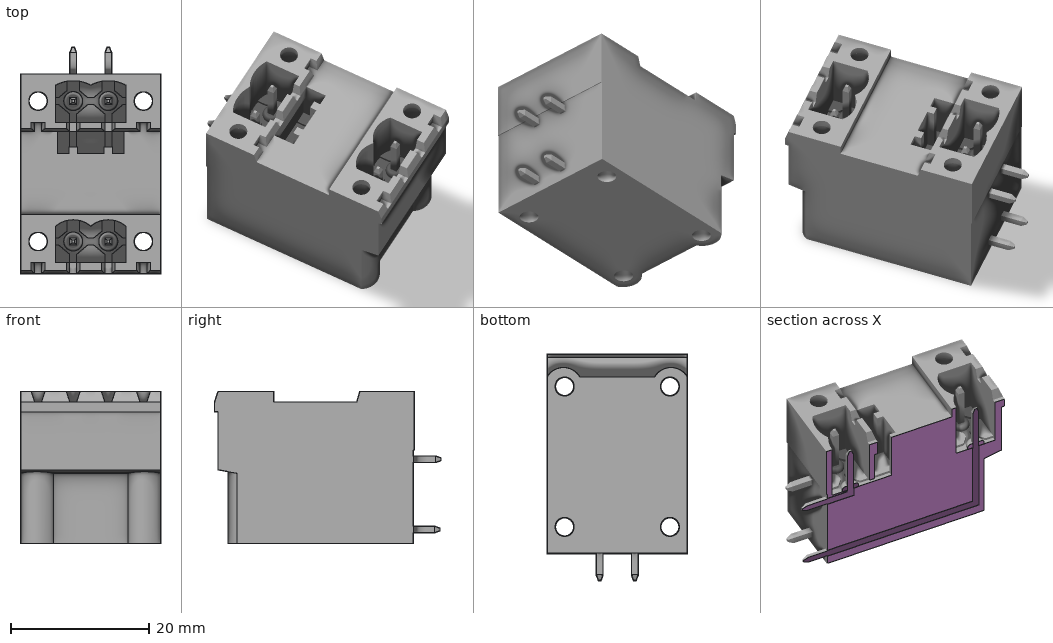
import cadquery as cq
import math


pitch = 5.08
housing_width = 4 * pitch
pin_x = (-pitch / 2, pitch / 2)
screw_x = (-1.5 * pitch, 1.5 * pitch)
notch_x = screw_x + pin_x
rear_row_y = -3.8
row_spacing = 4 * pitch
front_row_y = rear_row_y - row_spacing

height = 22.0
valley_depth = 1.5
valley_z = height - valley_depth
back_step = 0.12
back_step_z = 13.5
lip_front_y = -28.8
lip_setback = 0.5
lip_slope_run = 0.45
front_face_y = lip_front_y + lip_setback
lip_bottom_z = 19.05
valley_rear_y = -8.22
valley_front_y = -20.2
rear_lip_top_y = valley_rear_y + lip_slope_run
base_front_y = -25.5
front_block_bottom_z = 10.65
base_top_z = 10.15

column_radius = 2.75
column_sag = column_radius - (base_front_y - (front_row_y - column_radius))
column_half_chord = math.sqrt(column_radius**2 - column_sag**2)
column_x = housing_width / 2 - column_half_chord

screw_hole_diameter = 2.6
screw_hole_rim = 1.1
screw_clearance_diameter = 2.75

socket_half_width = pitch
socket_floor_z = 13.5
front_wall_offset = -3.07
front_cusp_offset = 2.2
front_crown_offset = 3.15
rear_cusp_offset = 2.3
rear_crown_offset = 2.95

channel_depth = 0.4
channel_z = socket_floor_z - channel_depth
cross_half_width = 0.5
upper_half_width = 0.93
upper_corner = 1.48
side_corner = 2.12
lower_corner = -1.87

notch_top_width = 2.0
notch_bottom_width = 1.0

pocket_half_width = 4.84
pocket_length = 3.2
pocket_front_y = valley_rear_y - pocket_length
undercut_top_z = 18.15
tab_width = 1.2
tab_length = 1.0

pin_size = 1.0
tip_length = 0.8
tip_size = 0.4
pin_top_z = valley_z
rear_tail_z = 12.19
front_tail_z = rear_tail_z - 2 * pitch
rear_tail_end_y = 4.0
front_tail_end_y = 3.85

collar_base_diameter = 2.75
collar_top_diameter = 1.7
collar_rounding = (collar_base_diameter - collar_top_diameter) / 2
collar_height = 0.8


def box(x_min, x_max, y_min, y_max, z_min, z_max):
    block = cq.Workplane("XY").box(x_max - x_min, y_max - y_min, z_max - z_min, centered=False)
    return block.translate((x_min, y_min, z_min))


def housing_block():
    profile = [
        (0, 0),
        (0, back_step_z),
        (back_step, back_step_z),
        (back_step, height),
        (rear_lip_top_y, height),
        (valley_rear_y, valley_z),
        (valley_front_y, valley_z),
        (valley_front_y, height),
        (front_face_y, height),
        (lip_front_y, valley_z),
        (lip_front_y, lip_bottom_z),
        (front_face_y, lip_bottom_z),
        (front_face_y, front_block_bottom_z),
        (base_front_y, base_top_z),
        (base_front_y, 0),
    ]
    block = cq.Workplane("YZ").polyline(profile).close().extrude(housing_width / 2, both=True)
    columns = (
        cq.Workplane("XY")
        .pushPoints([(-column_x, front_row_y), (column_x, front_row_y)])
        .circle(column_radius)
        .extrude(front_block_bottom_z)
    )
    half_width = housing_width / 2
    trim = box(-half_width, half_width, front_face_y, 0, 0, front_block_bottom_z)
    return block.union(columns.intersect(trim))


def socket(row_y, cusp_offset, crown_offset):
    """Cavity with one arched bay per pin."""
    wall_y = row_y + front_wall_offset
    cusp_y = row_y + cusp_offset
    crown_y = row_y + crown_offset
    return (
        cq.Workplane("XY", origin=(0, 0, socket_floor_z))
        .moveTo(-socket_half_width, wall_y)
        .lineTo(-socket_half_width, cusp_y)
        .threePointArc((pin_x[0], crown_y), (0, cusp_y))
        .threePointArc((pin_x[1], crown_y), (socket_half_width, cusp_y))
        .lineTo(socket_half_width, wall_y)
        .close()
        .extrude(height - socket_floor_z)
    )


def floor_channels(row_y, cusp_offset, crown_offset):
    """Cross-shaped channels around the pins, ending at the socket walls."""
    half_pitch = pitch / 2
    right_side = [
        (upper_half_width, crown_offset),
        (upper_half_width, upper_corner),
        (side_corner, cross_half_width),
        (half_pitch, cross_half_width),
        (half_pitch, -cross_half_width),
        (side_corner, -cross_half_width),
        (pin_size / 2, lower_corner),
        (pin_size / 2, front_wall_offset),
    ]
    left_side = [(-x, y) for x, y in reversed(right_side)]
    cross = (
        cq.Workplane("XY")
        .polyline(right_side + left_side)
        .close()
        .extrude(channel_depth)
    )
    left_cross = cross.translate((pin_x[0], row_y, channel_z))
    right_cross = cross.translate((pin_x[1], row_y, channel_z))
    footprint = socket(row_y, cusp_offset, crown_offset).translate((0, 0, -channel_depth))
    return left_cross.union(right_cross).intersect(footprint)


def lip_notches(wall_y, front_y):
    """Tapered notches from the socket wall out through the lip."""
    trapezoid = [
        (-notch_bottom_width / 2, valley_z),
        (notch_bottom_width / 2, valley_z),
        (notch_top_width / 2, height),
        (-notch_top_width / 2, height),
    ]
    notch = cq.Workplane("XZ", origin=(0, wall_y, 0)).polyline(trapezoid).close().extrude(wall_y - front_y)
    notches = cq.Workplane("XY")
    for x in notch_x:
        notches = notches.add(notch.translate((x, 0, 0)))
    return notches.combine()


def valley_pocket():
    """Pocket with an undercut below the rear lip and two tabs on its front wall."""
    pocket = box(
        -pocket_half_width, pocket_half_width, pocket_front_y, valley_rear_y, socket_floor_z, valley_z
    )
    undercut = box(
        -pocket_half_width, pocket_half_width,
        valley_rear_y, valley_rear_y + lip_setback,
        socket_floor_z, undercut_top_z,
    )
    pocket = pocket.union(undercut)
    tab_end_y = pocket_front_y + tab_length
    for x in pin_x:
        pocket = pocket.cut(
            box(x - tab_width / 2, x + tab_width / 2, pocket_front_y, tab_end_y, socket_floor_z, valley_z)
        )
        pocket = pocket.union(
            box(x - pin_size / 2, x + pin_size / 2, tab_end_y, rear_row_y + front_wall_offset,
                channel_z, socket_floor_z)
        )
    return pocket


def screw_holes():
    points = [(x, y) for x in screw_x for y in (rear_row_y, front_row_y)]
    rims = cq.Workplane("XY").pushPoints(points).circle(screw_hole_diameter / 2).extrude(height)
    clearances = (
        cq.Workplane("XY")
        .pushPoints(points)
        .circle(screw_clearance_diameter / 2)
        .extrude(height - screw_hole_rim)
    )
    return rims.union(clearances)


def tapered_bar(length):
    """Square bar along +Z from the origin, with a pyramid tip."""
    shank = cq.Workplane("XY").rect(pin_size, pin_size).extrude(length - tip_length)
    tip = (
        cq.Workplane("XY", origin=(0, 0, length - tip_length))
        .rect(pin_size, pin_size)
        .workplane(offset=tip_length)
        .rect(tip_size, tip_size)
        .loft()
    )
    return shank.union(tip)


def pin(x, row_y, tail_z, tail_end_y):
    """Bent pin: an upright contact and a tail toward +Y."""
    corner_z = tail_z - pin_size / 2
    corner_y = row_y - pin_size / 2
    upright = tapered_bar(pin_top_z - corner_z).translate((x, row_y, corner_z))
    tail = (
        tapered_bar(tail_end_y - corner_y)
        .rotate((0, 0, 0), (1, 0, 0), -90)
        .translate((x, corner_y, tail_z))
    )
    return upright.union(tail)


def collar(x, row_y):
    ring = (
        cq.Workplane("XY", origin=(x, row_y, channel_z))
        .circle(collar_base_diameter / 2)
        .extrude(collar_height)
        .faces(">Z")
        .edges()
        .fillet(collar_rounding)
    )
    bore = cq.Workplane("XY", origin=(x, row_y, channel_z)).rect(pin_size, pin_size).extrude(collar_height)
    return ring.cut(bore)


pins = []
collars = []
for x in pin_x:
    pins.append(pin(x, rear_row_y, rear_tail_z, rear_tail_end_y))
    pins.append(pin(x, front_row_y, front_tail_z, front_tail_end_y))
    collars.append(collar(x, rear_row_y))
    collars.append(collar(x, front_row_y))

housing = housing_block()
for row_y, cusp_offset, crown_offset, lip_y in (
    (rear_row_y, rear_cusp_offset, rear_crown_offset, valley_rear_y),
    (front_row_y, front_cusp_offset, front_crown_offset, lip_front_y),
):
    housing = housing.cut(socket(row_y, cusp_offset, crown_offset))
    housing = housing.cut(floor_channels(row_y, cusp_offset, crown_offset))
    housing = housing.cut(lip_notches(row_y + front_wall_offset, lip_y))
housing = housing.cut(valley_pocket())
housing = housing.cut(screw_holes())
for bent_pin in pins:
    housing = housing.cut(bent_pin)

result = cq.Compound.makeCompound([
    housing.val(),
    *[bent_pin.val() for bent_pin in pins],
    *[ring.val() for ring in collars],
])